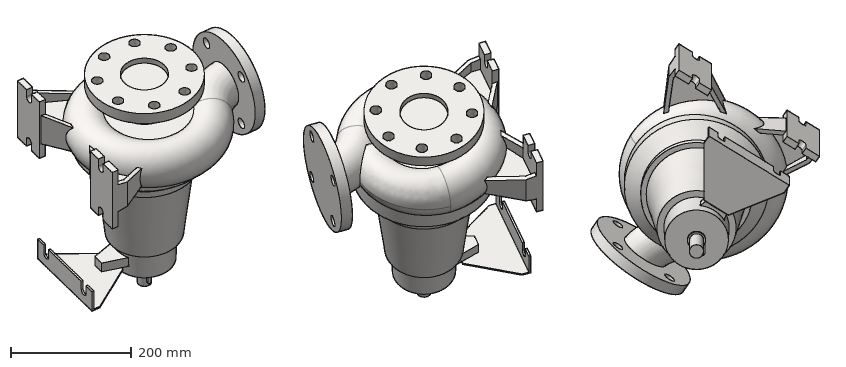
import cadquery as cq
import math


suction_face_z = 100.0
shaft_end_z = -360.0
discharge_face_y = 180.0
base_y = -160.0

tube_radius = 40.0
volute_center_x = 12.0
volute_radius = 102.0
tongue_radius = volute_radius - volute_center_x

outlet_bend_radius = (discharge_face_y**2 + volute_center_x**2 - volute_radius**2) / (
    2 * (volute_radius + volute_center_x)
)
joint_angle = math.degrees(math.atan2(discharge_face_y, outlet_bend_radius - volute_center_x))
tongue_end_angle = 80
tongue_end_tube_radius = 36.0
core_half_height = 30.0

suction_flange_radius = 100.0
suction_flange_thickness = 22.0
suction_bolt_radius = 80.0
suction_bolt_count = 8
neck_radius = 47.5
suction_bore_radius = 40.0
suction_bore_depth = suction_flange_thickness / 2

discharge_flange_radius = 92.5
discharge_flange_thickness = 20.0
discharge_bolt_radius = 72.5
discharge_bolt_count = 4
bolt_hole_diameter = 19.0

drum_radius = 120.0
drum_bottom_z = -54.5
collar_radius = 93.0
collar_top_z = -79.5
collar_bottom_z = -92.0
cone_top_radius = 83.5
cone_bottom_radius = 66.0
cone_bottom_z = -247.5
hub_top_radius = 54.5
hub_bottom_radius = 53.0
hub_bottom_z = -305.0
seal_radius = 15.0
seal_bottom_z = -308.0
shaft_radius = 12.0

key_width = 6.5
key_top_z = -312.5
key_bottom_z = -353.5
key_reach = 15.0

foot_outer_x = 140.0
foot_width = 65.0
foot_height = 125.0
foot_thickness = 12.0
foot_slot_x = 106.0
slot_width = 14.0
foot_slot_depth = 22.5
foot_inner_x = foot_outer_x - foot_width
foot_back_y = base_y + foot_thickness

rib_thickness = 8.0
rib_half_height = 30.0
rib_taper = 1 / 6
rib_end_y = -46.0
outer_rib_bend_y = -129.5
outer_rib_angle = 64
inner_rib_angle = 30
inner_rib_length = 64.5
web_thickness = 8.0

bracket_half_width = 80.0
bracket_top_z = -244.5
bracket_bottom_z = -288.0
bracket_wall = 3.5
bracket_slot_x = 55.0
bracket_slot_depth = 24.5
shelf_thickness = 3.0
shelf_back_y = -60.0
shelf_back_half_width = 24.0
shelf_corner_y = -144.5

block_height = 19.5
block_front_y = -93.0
block_front_half_width = 10.0
block_back_y = -30.0
block_back_half_width = 29.5


def tube_arc(center_x, center_y, radius, start_angle, sweep_angle):
    """Round tube bent about a vertical line, in the plane z = 0."""
    bend = (
        cq.Workplane("XZ")
        .center(radius, 0)
        .circle(tube_radius)
        .revolve(sweep_angle, (-radius, 0, 0), (-radius, 1, 0))
    )
    bend = bend.rotate((0, 0, 0), (0, 0, 1), start_angle)
    return bend.translate((center_x, center_y, 0))


def prism(points, bottom_z, top_z):
    """Straight prism over a polygon drawn in X and Y."""
    return cq.Workplane("XY", origin=(0, 0, bottom_z)).polyline(points).close().extrude(top_z - bottom_z)


def flange(radius, thickness, bolt_radius, bolt_count):
    """Flange with its mating face at z = 0; no bolt hole lies on the X or Y axis."""
    disc = cq.Workplane("XY").circle(radius).extrude(-thickness)
    holes = (
        cq.Workplane("XY")
        .polarArray(bolt_radius, 180 / bolt_count, 360, bolt_count)
        .circle(bolt_hole_diameter / 2)
        .extrude(-thickness)
    )
    return disc.cut(holes)


def open_slot(x, edge_z, depth, wall):
    """Slot cutter through a wall on the base plane; a positive depth runs down from edge_z."""
    round_z = edge_z - depth + math.copysign(slot_width / 2, depth)
    round_end = (
        cq.Workplane("XZ", origin=(x, base_y, round_z))
        .circle(slot_width / 2)
        .extrude(-wall)
    )
    straight = (
        cq.Workplane("XZ", origin=(x, base_y, (edge_z + round_z) / 2))
        .rect(slot_width, abs(edge_z - round_z))
        .extrude(-wall)
    )
    return round_end.union(straight)


def tongue_path_points():
    """Middle and end points of the tongue arc, which starts at (-tongue_radius, 0)."""
    points = []
    for degrees in ((180 + tongue_end_angle) / 2, tongue_end_angle):
        angle = math.radians(degrees)
        points.append((tongue_radius * math.cos(angle), tongue_radius * math.sin(angle)))
    return points


def tongue():
    """Narrowing tube that carries the volute on round to the outlet bend."""
    middle, end = tongue_path_points()
    path = cq.Workplane("XY").moveTo(-tongue_radius, 0).threePointArc(middle, end)
    end_plane = cq.Plane(
        origin=(end[0], end[1], 0),
        xDir=(end[0], end[1], 0),
        normal=(end[1], -end[0], 0),
    )
    start_circle = cq.Workplane("XZ", origin=(-tongue_radius, 0, 0)).circle(tube_radius).val()
    end_circle = cq.Workplane(end_plane).circle(tongue_end_tube_radius).val()
    return cq.Workplane(cq.Solid.sweep_multi([start_circle, end_circle], path.wire().val()))


def volute():
    main_tube = tube_arc(volute_center_x, 0, volute_radius, 180, 180 + joint_angle)
    outlet_tube = tube_arc(outlet_bend_radius, discharge_face_y, outlet_bend_radius, 180, joint_angle)

    joint = math.radians(joint_angle)
    tongue_middle, tongue_end = tongue_path_points()
    core = (
        cq.Workplane("XY", origin=(0, 0, -core_half_height))
        .moveTo(-tongue_radius, 0)
        .threePointArc((volute_center_x, -volute_radius), (volute_center_x + volute_radius, 0))
        .threePointArc(
            (volute_center_x + volute_radius * math.cos(joint / 2), volute_radius * math.sin(joint / 2)),
            (volute_center_x + volute_radius * math.cos(joint), volute_radius * math.sin(joint)),
        )
        .lineTo(*tongue_end)
        .threePointArc(tongue_middle, (-tongue_radius, 0))
        .close()
        .extrude(2 * core_half_height)
    )
    return core.union(main_tube).union(outlet_tube).union(tongue())


def suction():
    disc = flange(suction_flange_radius, suction_flange_thickness, suction_bolt_radius, suction_bolt_count)
    neck = cq.Workplane("XY").circle(neck_radius).extrude(-suction_face_z)
    bore = cq.Workplane("XY").circle(suction_bore_radius).extrude(-suction_bore_depth)
    return disc.union(neck).cut(bore).translate((0, 0, suction_face_z))


def discharge():
    disc = flange(discharge_flange_radius, discharge_flange_thickness, discharge_bolt_radius, discharge_bolt_count)
    return disc.rotate((0, 0, 0), (1, 0, 0), -90).translate((0, discharge_face_y, 0))


def housing_and_shaft():
    profile = [
        (0, 0),
        (drum_radius, 0),
        (drum_radius, drum_bottom_z),
        (collar_radius, collar_top_z),
        (collar_radius, collar_bottom_z),
        (cone_top_radius, collar_bottom_z),
        (cone_bottom_radius, cone_bottom_z),
        (hub_top_radius, cone_bottom_z),
        (hub_bottom_radius, hub_bottom_z),
        (seal_radius, hub_bottom_z),
        (seal_radius, seal_bottom_z),
        (shaft_radius, seal_bottom_z),
        (shaft_radius, shaft_end_z),
        (0, shaft_end_z),
    ]
    turned = cq.Workplane("XZ").polyline(profile).close().revolve(360, (0, 0, 0), (0, 1, 0))
    key = (
        cq.Workplane("YZ", origin=(0, 0, (key_top_z + key_bottom_z) / 2))
        .slot2D(key_top_z - key_bottom_z, key_width, 90)
        .extrude(key_reach)
    )
    return turned.union(key)


def left_foot():
    """Foot plate on the -X side with its two tapered ribs and the web between them."""
    plate = (
        cq.Workplane("XY")
        .box(foot_width, foot_thickness, foot_height)
        .translate((-(foot_outer_x + foot_inner_x) / 2, base_y + foot_thickness / 2, 0))
    )
    for side in (1, -1):
        cutter = open_slot(-foot_slot_x, side * foot_height / 2, side * foot_slot_depth, foot_thickness)
        plate = plate.cut(cutter)

    lean = math.radians(outer_rib_angle)
    lean_run = (rib_end_y - outer_rib_bend_y) / math.tan(lean)
    inside_bend_y = outer_rib_bend_y - rib_thickness * math.tan((math.pi / 2 - lean) / 2)
    inside_run = (rib_end_y - inside_bend_y) / math.tan(lean)
    outer_side = [
        (-foot_outer_x, foot_back_y),
        (-foot_outer_x, outer_rib_bend_y),
        (-foot_outer_x + lean_run, rib_end_y),
    ]
    inside_x = -foot_outer_x + rib_thickness
    outer_rib = outer_side + [
        (inside_x + inside_run, rib_end_y),
        (inside_x, inside_bend_y),
        (inside_x, foot_back_y),
    ]

    slant = math.radians(inner_rib_angle)
    rib_run = inner_rib_length * math.cos(slant)
    rib_rise = inner_rib_length * math.sin(slant)
    front_y = foot_back_y - rib_thickness / math.cos(slant)
    inner_rib_front = [
        (-foot_inner_x + rib_run, front_y + rib_rise),
        (-foot_inner_x, front_y),
    ]
    inner_rib = [
        (-foot_inner_x, foot_back_y),
        (-foot_inner_x + rib_run, foot_back_y + rib_rise),
    ] + inner_rib_front

    end_half_height = rib_half_height - rib_taper * (rib_end_y - foot_back_y)
    base_half_height = rib_half_height + rib_taper * foot_thickness
    side_shape = (
        cq.Workplane("YZ", origin=(-foot_outer_x, 0, 0))
        .polyline([
            (base_y, -base_half_height),
            (rib_end_y, -end_half_height),
            (rib_end_y, end_half_height),
            (base_y, base_half_height),
        ])
        .close()
        .extrude(foot_outer_x)
    )
    ribs = prism(outer_rib, -base_half_height, base_half_height)
    ribs = ribs.union(prism(inner_rib, -base_half_height, base_half_height)).intersect(side_shape)

    web_outline = outer_side + inner_rib_front + [(-foot_inner_x, foot_back_y)]
    web = prism(web_outline, -web_thickness / 2, web_thickness / 2)
    return plate.union(ribs).union(web)


def bracket():
    wall = (
        cq.Workplane("XY")
        .box(2 * bracket_half_width, bracket_wall, bracket_top_z - bracket_bottom_z)
        .translate((0, base_y + bracket_wall / 2, (bracket_top_z + bracket_bottom_z) / 2))
    )
    for side in (1, -1):
        wall = wall.cut(open_slot(side * bracket_slot_x, bracket_top_z, bracket_slot_depth, bracket_wall))

    shelf_outline = [
        (-bracket_half_width, base_y),
        (bracket_half_width, base_y),
        (bracket_half_width, shelf_corner_y),
        (shelf_back_half_width, shelf_back_y),
        (-shelf_back_half_width, shelf_back_y),
        (-bracket_half_width, shelf_corner_y),
    ]
    shelf_top_z = bracket_bottom_z + shelf_thickness
    shelf = prism(shelf_outline, bracket_bottom_z, shelf_top_z)

    block_outline = [
        (-block_front_half_width, block_front_y),
        (block_front_half_width, block_front_y),
        (block_back_half_width, block_back_y),
        (-block_back_half_width, block_back_y),
    ]
    block = prism(block_outline, shelf_top_z, shelf_top_z + block_height)
    return wall.union(shelf).union(block)


foot = left_foot()
result = (
    volute()
    .union(housing_and_shaft())
    .union(suction())
    .union(discharge())
    .union(foot)
    .union(foot.mirror("YZ"))
    .union(bracket())
)